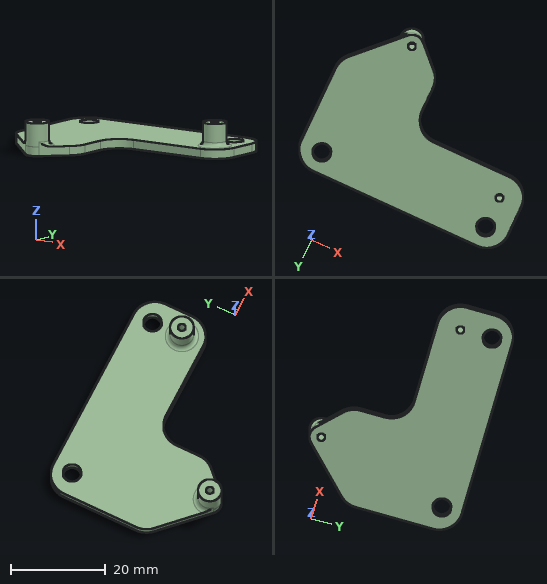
import cadquery as cq
import math

length = 48.1
width = 35.6
height = 7.0

plate_thickness = 2.0
corner_radius = 5.0
arm_width = 16.35
leg_width = 20.45

boss_radius = 5.0 / 2
boss_hole_diameter = 1.6
boss_fillet = 1.0
flare_top = plate_thickness + boss_fillet

mount_diameter = 3.9
mount_edge_distance = 4.43

tip_x = 12.6
tip_center = (tip_x, boss_radius)
arm_bottom = width - arm_width
arm_center = (length - corner_radius, arm_bottom + corner_radius)
boss_centers = [tip_center, arm_center]
mount_y = width - mount_edge_distance
mount_centers = [(corner_radius, mount_y), (length - corner_radius, mount_y)]


def make_outline(depth):
    """Rounded L-shaped prism whose leg ends in a 45 degree point."""
    apex_y = boss_radius - boss_radius * math.sqrt(2)
    corners = [
        (0, width),
        (length, width),
        (length, arm_bottom),
        (leg_width, arm_bottom),
        (leg_width, apex_y + leg_width - tip_x),
        (tip_x, apex_y),
        (0, apex_y + tip_x),
    ]
    prism = cq.Workplane("XY").polyline(corners).close().extrude(depth)
    tip_edge = cq.selectors.NearestToPointSelector((tip_x, apex_y, depth / 2))
    vertical_edges = cq.selectors.ParallelDirSelector(cq.Vector(0, 0, 1))
    other_edges = cq.selectors.SubtractSelector(vertical_edges, tip_edge)
    prism = prism.edges(other_edges).fillet(corner_radius)
    return prism.edges(tip_edge).fillet(boss_radius)


def make_flare(center):
    """Concave flare around a standoff, filled down to the plate underside."""
    flare_radius = boss_radius + boss_fillet
    arc_offset = boss_fillet * math.sqrt(0.5)
    arc_middle = (flare_radius - arc_offset, flare_top - arc_offset)
    return (
        cq.Workplane("XZ")
        .lineTo(flare_radius, 0)
        .lineTo(flare_radius, plate_thickness)
        .threePointArc(arc_middle, (boss_radius, flare_top))
        .lineTo(0, flare_top)
        .close()
        .revolve(360, (0, 0), (0, 1))
        .translate((*center, 0))
    )


def make_tip_trim():
    """Wedge between the 45 degree sides, starting where they meet the tip arc."""
    tangent_offset = boss_radius * math.sqrt(0.5)
    tangent_y = boss_radius - tangent_offset
    rise = 2 * boss_radius + boss_fillet
    half_width = tangent_offset + rise
    corners = [
        (tip_x - tangent_offset, tangent_y),
        (tip_x + tangent_offset, tangent_y),
        (tip_x + half_width, tangent_y + rise),
        (tip_x - half_width, tangent_y + rise),
    ]
    return cq.Workplane("XY").polyline(corners).close().extrude(flare_top)


def make_cylinders(centers, diameter):
    """Upright cylinders spanning the full height."""
    return cq.Workplane("XY").pushPoints(centers).circle(diameter / 2).extrude(height)


result = make_outline(plate_thickness)

result = result.union(make_flare(arm_center))
result = result.union(make_flare(tip_center).intersect(make_tip_trim()))
result = result.union(make_cylinders(boss_centers, 2 * boss_radius))

result = result.cut(make_cylinders(boss_centers, boss_hole_diameter))
result = result.cut(make_cylinders(mount_centers, mount_diameter))